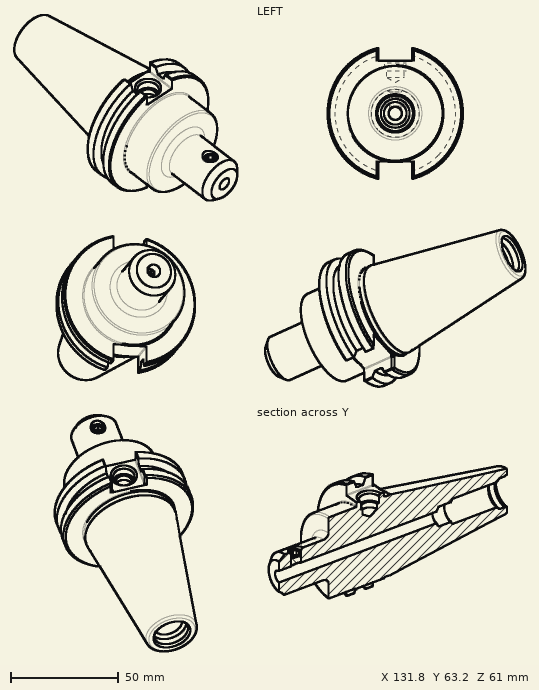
import cadquery as cq
import math

LENGTH = 131.8

TAPER_RATIO = 7 / 24
TAPER_LENGTH = 67.9
TAPER_DIAMETER = 44.4
SMALL_END_FILLET = 1.2
NECK_DIAMETER = 44.0
NECK_STEP_LENGTH = 0.8
NECK_FILLET = 0.5

FLANGE_START = 71.0
FLANGE_END = 87.1
FLANGE_DIAMETER = 63.2
FLANGE_BACK_CHAMFER = 0.9
FLANGE_FRONT_CHAMFER = 0.5
GROOVE_CENTER = 79.3
GROOVE_FLOOR_WIDTH = 3.7
GROOVE_MOUTH_WIDTH = 6.7
GROOVE_DIAMETER = 56.1

SLOT_WIDTH = 15.8
TOP_SLOT_FLOOR = 24.6
BOTTOM_SLOT_FLOOR = 22.5
SLOT_CORNER_FILLET = 0.4
SLOT_EDGE_CHAMFER = 0.9
SLOT_RIM_CHAMFER = 0.3

BLIND_MOUTH_DIAMETER = 12.3
BLIND_DIAMETER = 10.1
BLIND_DEPTH = 4.9
PILOT_DIAMETER = 8.0
PILOT_DEPTH = 7.9
DRILL_POINT_ANGLE = 118.0

COLLAR_END = 103.3
COLLAR_DIAMETER = 44.5
COLLAR_FILLET = 0.8
COLLAR_ROOT_FILLET = 0.5
SHANK_DIAMETER = 22.3
SHANK_ROOT_FILLET = 2.6
NOSE_CHAMFER_LENGTH = 3.2
NOSE_DIAMETER = 16.5

MOUTH_DIAMETER = 17.9
MOUTH_LENGTH = 1.5
COUNTERBORE_DIAMETER = 16.5
COUNTERBORE_END = 4.6
THREAD_DIAMETER = 13.5
THREAD_END = 31.6
CLEARANCE_DIAMETER = 10.5
CLEARANCE_END = 39.5
THROUGH_DIAMETER = 6.0

SCREW_X = 122.0
SCREW_DIAMETER = 5.4
SCREW_MOUTH_DIAMETER = 7.8
SCREW_LENGTH = 6.5
SOCKET_ACROSS_FLATS = 3.2
SOCKET_DEPTH = 2.6
SOCKET_TURN = 13.0
SCREW_TOP = SHANK_DIAMETER / 2 - (SCREW_MOUTH_DIAMETER - SCREW_DIAMETER) / 2


def drill_point_length(large_diameter, small_diameter=0.0):
    """Length of a drill-point cone between two diameters."""
    return (large_diameter - small_diameter) / 2 / math.tan(math.radians(DRILL_POINT_ANGLE / 2))


def revolve_profile(points):
    """Solid of revolution about X from (x, radius) points; the profile closes along the axis."""
    closed = [(points[0][0], 0), *points, (points[-1][0], 0)]
    return cq.Workplane("XY").polyline(closed).close().revolve(360, (0, 0, 0), (1, 0, 0))


def circle_edges(body, x, diameter):
    """The full circular edge about the X axis at the given x and diameter."""
    reach = diameter / 2 + 0.01
    inside = diameter / 2 - 0.01
    outer_box = cq.selectors.BoxSelector((x - 0.01, -reach, -reach), (x + 0.01, reach, reach), True)
    inner_box = cq.selectors.BoxSelector((x - 0.01, -inside, -inside), (x + 0.01, inside, inside), True)
    return body.edges(outer_box - inner_box)


def turned_body():
    """Outer shape of the holder with the edges and roots that are rounded all the way round."""
    small_end_diameter = TAPER_DIAMETER - TAPER_LENGTH * TAPER_RATIO
    taper_radius = TAPER_DIAMETER / 2
    neck_radius = NECK_DIAMETER / 2
    flange_radius = FLANGE_DIAMETER / 2
    groove_radius = GROOVE_DIAMETER / 2
    collar_radius = COLLAR_DIAMETER / 2
    shank_radius = SHANK_DIAMETER / 2
    body = revolve_profile([
        (0, small_end_diameter / 2),
        (TAPER_LENGTH, taper_radius),
        (TAPER_LENGTH + NECK_STEP_LENGTH, neck_radius),
        (FLANGE_START, neck_radius),
        (FLANGE_START, flange_radius - FLANGE_BACK_CHAMFER),
        (FLANGE_START + FLANGE_BACK_CHAMFER, flange_radius),
        (GROOVE_CENTER - GROOVE_MOUTH_WIDTH / 2, flange_radius),
        (GROOVE_CENTER - GROOVE_FLOOR_WIDTH / 2, groove_radius),
        (GROOVE_CENTER + GROOVE_FLOOR_WIDTH / 2, groove_radius),
        (GROOVE_CENTER + GROOVE_MOUTH_WIDTH / 2, flange_radius),
        (FLANGE_END - FLANGE_FRONT_CHAMFER, flange_radius),
        (FLANGE_END, flange_radius - FLANGE_FRONT_CHAMFER),
        (FLANGE_END, collar_radius),
        (COLLAR_END, collar_radius),
        (COLLAR_END, shank_radius),
        (LENGTH - NOSE_CHAMFER_LENGTH, shank_radius),
        (LENGTH, NOSE_DIAMETER / 2),
    ])
    for x, diameter, fillet in [
        (0, small_end_diameter, SMALL_END_FILLET),
        (FLANGE_START, NECK_DIAMETER, NECK_FILLET),
        (FLANGE_END, COLLAR_DIAMETER, COLLAR_ROOT_FILLET),
        (COLLAR_END, COLLAR_DIAMETER, COLLAR_FILLET),
        (COLLAR_END, SHANK_DIAMETER, SHANK_ROOT_FILLET),
    ]:
        body = circle_edges(body, x, diameter).fillet(fillet)
    return body


def drive_slot(floor):
    """Cutter for a slot at +Z: rounded floor corners, flared at the rim and at the taper side."""
    flange_width = FLANGE_END - FLANGE_START
    rim = FLANGE_DIAMETER / 2
    middle_x = (FLANGE_START + FLANGE_END) / 2
    height = rim - floor
    channel = (
        cq.Workplane("XY", origin=(middle_x, 0, floor))
        .box(flange_width, SLOT_WIDTH, height, centered=(True, True, False))
        .edges("|X and <Z")
        .fillet(SLOT_CORNER_FILLET)
    )
    half_width = SLOT_WIDTH / 2
    edge_flare = (
        cq.Workplane("XY", origin=(0, 0, floor))
        .polyline([
            (FLANGE_START, -half_width - SLOT_EDGE_CHAMFER),
            (FLANGE_START, half_width + SLOT_EDGE_CHAMFER),
            (FLANGE_START + SLOT_EDGE_CHAMFER, half_width),
            (FLANGE_START + SLOT_EDGE_CHAMFER, -half_width),
        ])
        .close()
        .extrude(height)
    )
    wall_top = math.sqrt(rim**2 - (half_width + SLOT_RIM_CHAMFER) ** 2)
    rim_flare = (
        cq.Workplane("YZ", origin=(FLANGE_START, 0, 0))
        .polyline([
            (-half_width, wall_top - SLOT_RIM_CHAMFER),
            (half_width, wall_top - SLOT_RIM_CHAMFER),
            (half_width + SLOT_RIM_CHAMFER, wall_top),
            (half_width + SLOT_RIM_CHAMFER, rim),
            (-half_width - SLOT_RIM_CHAMFER, rim),
            (-half_width - SLOT_RIM_CHAMFER, wall_top),
        ])
        .close()
        .extrude(flange_width)
    )
    return channel.union(edge_flare).union(rim_flare)


def blind_hole():
    """Cutter for the stepped, countersunk hole in the top slot floor, ending in a drill point."""
    mouth_depth = (BLIND_MOUTH_DIAMETER - BLIND_DIAMETER) / 2
    return (
        cq.Workplane("XZ", origin=(GROOVE_CENTER, 0, TOP_SLOT_FLOOR))
        .polyline([
            (0, 0),
            (BLIND_MOUTH_DIAMETER / 2, 0),
            (BLIND_DIAMETER / 2, -mouth_depth),
            (BLIND_DIAMETER / 2, -BLIND_DEPTH),
            (PILOT_DIAMETER / 2, -BLIND_DEPTH),
            (PILOT_DIAMETER / 2, -PILOT_DEPTH),
            (0, -PILOT_DEPTH - drill_point_length(PILOT_DIAMETER)),
        ])
        .close()
        .revolve(360, (0, 0, 0), (0, 1, 0))
    )


def axial_bore():
    """Cutter for the stepped bore; each step narrows through a cone."""
    shoulder_length = (COUNTERBORE_DIAMETER - THREAD_DIAMETER) / 2
    return revolve_profile([
        (0, MOUTH_DIAMETER / 2),
        (MOUTH_LENGTH, COUNTERBORE_DIAMETER / 2),
        (COUNTERBORE_END, COUNTERBORE_DIAMETER / 2),
        (COUNTERBORE_END + shoulder_length, THREAD_DIAMETER / 2),
        (THREAD_END, THREAD_DIAMETER / 2),
        (THREAD_END + drill_point_length(THREAD_DIAMETER, CLEARANCE_DIAMETER), CLEARANCE_DIAMETER / 2),
        (CLEARANCE_END, CLEARANCE_DIAMETER / 2),
        (CLEARANCE_END + drill_point_length(CLEARANCE_DIAMETER, THROUGH_DIAMETER), THROUGH_DIAMETER / 2),
        (LENGTH, THROUGH_DIAMETER / 2),
    ])


def screw_hole():
    """Cutter for the countersunk screw hole, from the shank surface into the bore."""
    return (
        cq.Workplane("XZ", origin=(SCREW_X, 0, 0))
        .polyline([
            (0, 0),
            (SCREW_DIAMETER / 2, 0),
            (SCREW_DIAMETER / 2, SCREW_TOP),
            (SCREW_MOUTH_DIAMETER / 2, SHANK_DIAMETER / 2),
            (0, SHANK_DIAMETER / 2),
        ])
        .close()
        .revolve(360, (0, 0, 0), (0, 1, 0))
    )


def make_holder():
    """The tool holder with its slots, bore and holes."""
    bottom_slot = drive_slot(BOTTOM_SLOT_FLOOR).rotate((0, 0, 0), (1, 0, 0), 180)
    return (
        turned_body()
        .cut(drive_slot(TOP_SLOT_FLOOR))
        .cut(bottom_slot)
        .cut(blind_hole())
        .cut(axial_bore())
        .cut(screw_hole())
    )


def make_set_screw():
    """Headless screw with a hexagon socket in its top face."""
    top_plane = cq.Workplane("XY", origin=(SCREW_X, 0, SCREW_TOP))
    rod = top_plane.circle(SCREW_DIAMETER / 2).extrude(-SCREW_LENGTH)
    socket = (
        top_plane.transformed(rotate=(0, 0, SOCKET_TURN))
        .polygon(6, SOCKET_ACROSS_FLATS, circumscribed=True)
        .extrude(-SOCKET_DEPTH)
    )
    return rod.cut(socket)


holder = make_holder()
set_screw = make_set_screw()
result = cq.Compound.makeCompound([holder.val(), set_screw.val()])